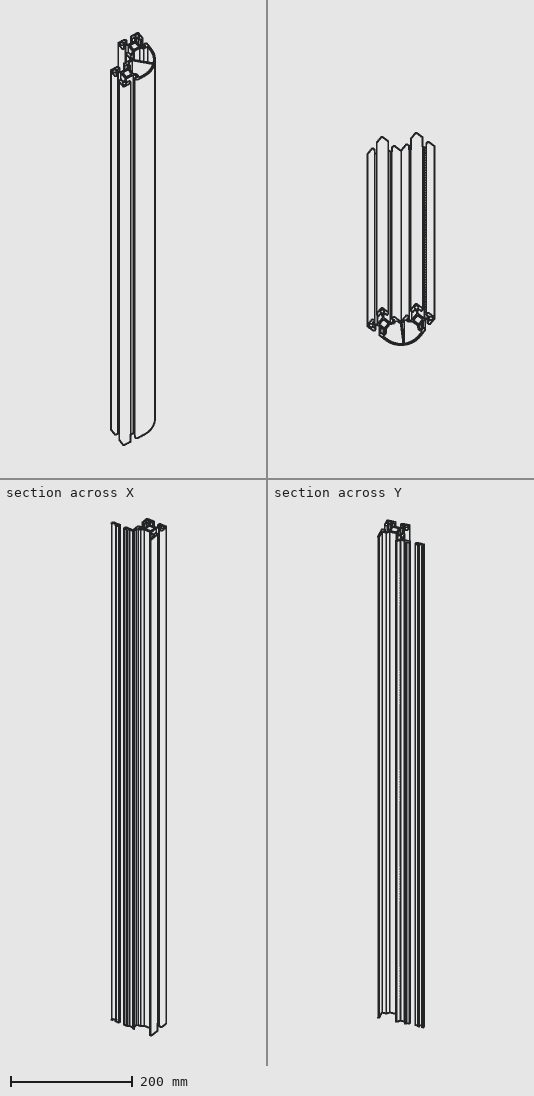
import cadquery as cq
import math

length = 1000.0
module = 40.0
outer = 2 * module
corner_radius = 2.0

slot_opening = 10.0
lip_rounding = 2.0
lip_thickness = 5.0
slot_depth = 12.0
slot_inner_width = 20.0
slot_floor_width = 14.0

core_bore = 11.0
core_bore_rounding = 2.0
corner_bore = 6.0
corner_bore_inset = 2.0
wall = 2.5
web = 2.0

centre_x = module / 2
centre_y = outer - module / 2


def prism(points):
    """Full-length bar with a polygonal section."""
    return cq.Workplane("XY").polyline(points).close().extrude(length)


def square_bar(side, x, y):
    """Full-length square bar centred at (x, y)."""
    return cq.Workplane("XY").center(x, y).rect(side, side).extrude(length)


def round_bar(radius, x, y):
    """Full-length round bar centred at (x, y)."""
    return cq.Workplane("XY").center(x, y).circle(radius).extrude(length)


def quarter_bar(radius):
    """Full-length quarter disc centred on the inner corner of the L."""
    return (
        cq.Workplane("XY")
        .moveTo(module, module)
        .lineTo(module + radius, module)
        .radiusArc((module, module + radius), -radius)
        .close()
        .extrude(length)
    )


def mirrored(shape):
    """Mirror image of a full-length bar across the diagonal plane x = y."""
    return shape.rotate((0, 0, 0), (1, 1, 0), 180).translate((0, 0, length))


def t_slot(angle):
    """T-slot cutter opening toward +X, turned by angle about the module centre."""
    face = module / 2
    lip = face - lip_thickness
    floor = face - slot_depth
    shoulder = floor + (slot_inner_width - slot_floor_width) / 2
    round_start = face - lip_rounding
    mouth_half = slot_opening / 2 + lip_rounding
    upper_side = [
        (floor, slot_floor_width / 2),
        (shoulder, slot_inner_width / 2),
        (lip, slot_inner_width / 2),
        (lip, slot_opening / 2),
        (round_start, slot_opening / 2),
    ]
    lower_side = [(x, -y) for x, y in reversed(upper_side)]
    slot = (
        cq.Workplane("XY")
        .polyline(upper_side)
        .radiusArc((face, mouth_half), -lip_rounding)
        .lineTo(face, -mouth_half)
        .radiusArc(lower_side[0], -lip_rounding)
    )
    for point in lower_side[1:]:
        slot = slot.lineTo(*point)
    slot = slot.close().extrude(length)
    return slot.rotate((0, 0, 0), (0, 0, 1), angle).translate((centre_x, centre_y, 0))


def slotted_module():
    """Square module with three T-slots, a core bore and two corner bores."""
    body = square_bar(module, centre_x, centre_y).edges("|Z and <X").fillet(corner_radius)
    for angle in (90, 180, 270):
        body = body.cut(t_slot(angle))
    bore = square_bar(core_bore, centre_x, centre_y).edges("|Z").fillet(core_bore_rounding)
    body = body.cut(bore)
    offset = module / 2 - corner_bore_inset - corner_bore / 2
    for side in (-1, 1):
        body = body.cut(round_bar(corner_bore / 2, centre_x - offset, centre_y + side * offset))
    return body


def chamber():
    """Hollow between the slotted module, the curved skin and the diagonal web."""
    core_face = module - slot_depth
    slot_side = centre_x + slot_inner_width / 2 + wall
    slope = slot_side - core_face
    core_half = slot_inner_width / 2
    bottom = module + wall
    shelf = module + lip_thickness
    top = outer - wall
    beside_module = prism([
        (core_face, centre_y - core_half + slope),
        (slot_side, centre_y - core_half),
        (slot_side, shelf),
        (slot_side + shelf - bottom, bottom),
        (module, bottom),
        (module, top),
        (slot_side, top),
        (slot_side, centre_y + core_half),
        (core_face, centre_y + core_half - slope),
    ])
    web_shift = web / math.sqrt(2)
    above_web = prism([
        (core_face, bottom),
        (bottom - web_shift, bottom),
        (outer, outer + web_shift),
        (core_face, outer),
    ])
    return beside_module.union(quarter_bar(module - wall)).intersect(above_web)


upper_module = slotted_module()
upper_chamber = chamber()
section = upper_module.union(mirrored(upper_module)).union(quarter_bar(module))
result = section.cut(upper_chamber).cut(mirrored(upper_chamber))